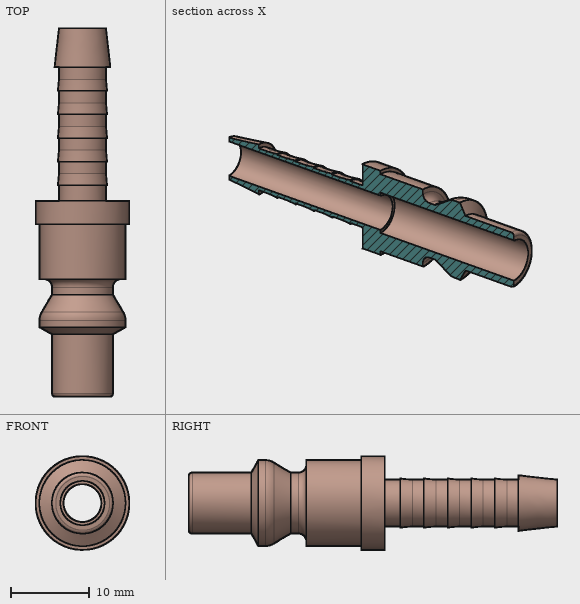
import cadquery as cq
import math

LENGTH = 47.0
BORE_RADIUS = 2.4
NOSE_BORE_RADIUS = 2.8

HOSE_RADIUS = 3.0
END_BARB_RADIUS = 3.55
RING_RADIUS = 3.15
COLLAR_DIAMETER = 12.0
COLLAR_RADIUS = COLLAR_DIAMETER / 2
BODY_RADIUS = 5.5
NOSE_RADIUS = 3.9

END_BARB_LENGTH = 5.0
FIRST_RING = 6.5
RING_LENGTH = 1.5
RING_PITCH = 2 * RING_LENGTH
RING_COUNT = 5

COLLAR_START = 22.0
BODY_START = 25.0
BODY_END = 32.0
NECK_FILLET = 1.0
RIDGE_START = 34.0
RIDGE_FLAT_START = 37.22
RIDGE_FLAT_END = 38.1
RIDGE_END = 39.0
RIDGE_ANGLE = math.radians(32)
RIDGE_BLEND_RADIUS = 2.0
NOSE_FILLET = 0.45
NOSE_BORE_START = BODY_START


def point(radius, station):
    """Profile point; station 0 is the hose end at the +Y extreme."""
    return (radius, LENGTH / 2 - station)


def add_hose_tail(profile):
    """End barb followed by shallow tapered rings."""
    profile = profile.lineTo(*point(HOSE_RADIUS, 0))
    profile = profile.lineTo(*point(END_BARB_RADIUS, END_BARB_LENGTH))
    profile = profile.lineTo(*point(HOSE_RADIUS, END_BARB_LENGTH))
    for index in range(RING_COUNT):
        start = FIRST_RING + index * RING_PITCH
        crest = start + RING_LENGTH
        profile = profile.lineTo(*point(HOSE_RADIUS, start))
        profile = profile.lineTo(*point(RING_RADIUS, crest))
        profile = profile.lineTo(*point(HOSE_RADIUS, crest))
    return profile.lineTo(*point(HOSE_RADIUS, COLLAR_START))


def add_collar_and_body(profile):
    profile = profile.lineTo(*point(COLLAR_RADIUS, COLLAR_START))
    profile = profile.lineTo(*point(COLLAR_RADIUS, BODY_START))
    profile = profile.lineTo(*point(BODY_RADIUS, BODY_START))
    return profile.lineTo(*point(BODY_RADIUS, BODY_END))


def add_neck_and_ridge(profile):
    """Filleted neck, then a locking ridge whose cone blends into its flat."""
    profile = profile.lineTo(*point(NOSE_RADIUS + NECK_FILLET, BODY_END))
    profile = profile.radiusArc(point(NOSE_RADIUS, BODY_END + NECK_FILLET), -NECK_FILLET)
    profile = profile.lineTo(*point(NOSE_RADIUS, RIDGE_START))

    def blend_point(angle):
        return point(
            BODY_RADIUS - RIDGE_BLEND_RADIUS * (1 - math.cos(angle)),
            RIDGE_FLAT_START - RIDGE_BLEND_RADIUS * math.sin(angle),
        )

    profile = profile.lineTo(*blend_point(RIDGE_ANGLE))
    profile = profile.threePointArc(blend_point(RIDGE_ANGLE / 2), blend_point(0))
    profile = profile.lineTo(*point(BODY_RADIUS, RIDGE_FLAT_END))
    return profile.lineTo(*point(NOSE_RADIUS, RIDGE_END))


def add_nose(profile):
    """Plain nose with a rounded outer rim."""
    diagonal = NOSE_FILLET * (1 - math.sqrt(0.5))
    profile = profile.lineTo(*point(NOSE_RADIUS, LENGTH - NOSE_FILLET))
    profile = profile.threePointArc(
        point(NOSE_RADIUS - diagonal, LENGTH - diagonal),
        point(NOSE_RADIUS - NOSE_FILLET, LENGTH),
    )
    return profile.lineTo(*point(NOSE_BORE_RADIUS, LENGTH))


def add_nose_bore(profile):
    """Wider bore from the nose, stepping down to the hose-tail bore."""
    profile = profile.lineTo(*point(NOSE_BORE_RADIUS, NOSE_BORE_START))
    return profile.lineTo(*point(BORE_RADIUS, NOSE_BORE_START))


profile = cq.Workplane("XY").moveTo(*point(BORE_RADIUS, 0))
profile = add_hose_tail(profile)
profile = add_collar_and_body(profile)
profile = add_neck_and_ridge(profile)
profile = add_nose(profile)
profile = add_nose_bore(profile).close()

result = profile.revolve(360, (0, 0, 0), (0, 1, 0))